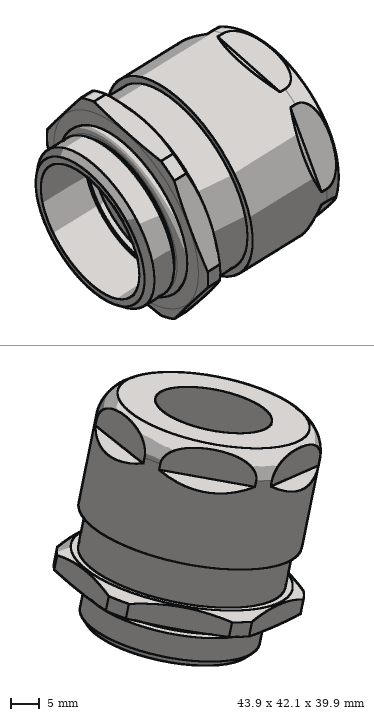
import cadquery as cq
import math


spigot_chamfer_end = 1.27
groove_start = 5.7
ring_front = 6.5
hex_front = 8.15
hex_back = 12.5
neck_end = 20.3
dome_start = 37.12
total_length = 42.1

spigot_diameter = 32.0
spigot_tip_diameter = 29.65
ring_diameter = 33.8
neck_diameter = 36.85
cap_diameter = 39.7
ring_round = 1.0
dome_radius = 5.8

hex_across_flats = 39.9
hex_corner_diameter = 43.9
hex_face_diameter = 39.4
hex_front_chamfer = 0.3
hex_back_chamfer = 1.27

cap_across_flats = 35.9
cap_flats_start = 36.0
flat_count = 6

entry_diameter = 26.8
entry_depth = 10.0
lead_diameter = 26.45
lead_length = 0.15
seat_diameter = 25.8
seat_depth = 11.35
through_diameter = 20.7


def spin(profile):
    """Revolve a closed (radius, Y) profile around the Y axis."""
    return profile.close().revolve(360, (0, 0, 0), (0, 1, 0))


def hex_prism(across_flats, start, end):
    """Hexagonal prism along Y with flats facing +Z and -Z."""
    across_corners = across_flats / math.cos(math.pi / flat_count)
    plane = cq.Plane(origin=(0, start, 0), xDir=(1, 0, 0), normal=(0, 1, 0))
    return cq.Workplane(plane).polygon(flat_count, across_corners).extrude(end - start)


def spigot_and_ring():
    """Chamfered spigot, tapered groove and round-section sealing ring bedded in the collar."""
    spigot_radius = spigot_diameter / 2
    ring_radius = ring_diameter / 2
    groove_radius = spigot_radius - (ring_front - groove_start)
    buried_length = hex_front - ring_front - ring_round
    ring_edge_drop = ring_round - math.sqrt(ring_round**2 - buried_length**2)
    return spin(
        cq.Workplane("XY")
        .moveTo(0, 0)
        .lineTo(spigot_tip_diameter / 2, 0)
        .lineTo(spigot_radius, spigot_chamfer_end)
        .lineTo(spigot_radius, groove_start)
        .lineTo(groove_radius, ring_front)
        .lineTo(ring_radius - ring_round, ring_front)
        .threePointArc(
            (ring_radius, ring_front + ring_round),
            (ring_radius - ring_edge_drop, hex_front),
        )
        .lineTo(0, hex_front)
    )


def collar():
    """Hexagonal collar with conical chamfers and turned corners."""
    face_radius = hex_face_diameter / 2
    corner_radius = hex_corner_diameter / 2
    envelope = spin(
        cq.Workplane("XY")
        .moveTo(0, hex_front)
        .lineTo(face_radius, hex_front)
        .lineTo(corner_radius, hex_front + hex_front_chamfer)
        .lineTo(corner_radius, hex_back - hex_back_chamfer)
        .lineTo(face_radius, hex_back)
        .lineTo(0, hex_back)
    )
    return hex_prism(hex_across_flats, hex_front, hex_back).intersect(envelope)


def neck_and_cap():
    """Plain neck and domed cap, before the flats are cut."""
    cap_radius = cap_diameter / 2
    dome_center = cap_radius - dome_radius
    dome_angle = math.asin((total_length - dome_start) / dome_radius)
    return spin(
        cq.Workplane("XY")
        .moveTo(0, hex_back)
        .lineTo(neck_diameter / 2, hex_back)
        .lineTo(neck_diameter / 2, neck_end)
        .lineTo(cap_radius, neck_end)
        .lineTo(cap_radius, dome_start)
        .threePointArc(
            (
                dome_center + dome_radius * math.cos(dome_angle / 2),
                dome_start + dome_radius * math.sin(dome_angle / 2),
            ),
            (dome_center + dome_radius * math.cos(dome_angle), total_length),
        )
        .lineTo(0, total_length)
    )


def flat_cutters():
    """Six cutters, each a flat with a 45 degree run-out towards the neck."""
    inner = cap_across_flats / 2
    outer = cap_diameter
    cutter = (
        cq.Workplane("YZ")
        .moveTo(cap_flats_start, inner)
        .lineTo(total_length, inner)
        .lineTo(total_length, outer)
        .lineTo(cap_flats_start - (outer - inner), outer)
        .close()
        .extrude(cap_diameter / 2, both=True)
    )
    cutters = []
    for index in range(flat_count):
        angle = index * 360 / flat_count
        cutters.append(cutter.rotate((0, 0, 0), (0, 1, 0), angle))
    return cutters


def bore():
    """Through bore with a wide entry, a short taper and a shallow seat."""
    return spin(
        cq.Workplane("XY")
        .moveTo(0, 0)
        .lineTo(entry_diameter / 2, 0)
        .lineTo(entry_diameter / 2, entry_depth)
        .lineTo(lead_diameter / 2, entry_depth + lead_length)
        .lineTo(seat_diameter / 2, entry_depth + lead_length)
        .lineTo(seat_diameter / 2, seat_depth)
        .lineTo(through_diameter / 2, seat_depth)
        .lineTo(through_diameter / 2, total_length)
        .lineTo(0, total_length)
    )


cap = neck_and_cap()
for flat_cutter in flat_cutters():
    cap = cap.cut(flat_cutter)

result = spigot_and_ring().union(collar()).union(cap).cut(bore())